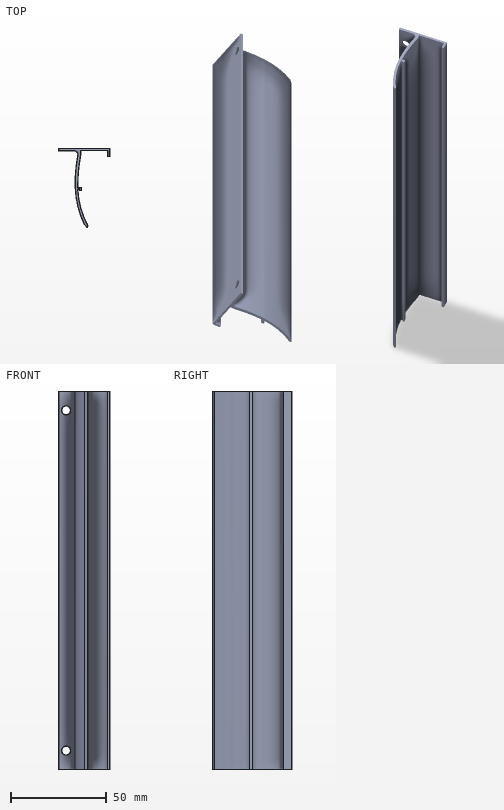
import cadquery as cq

length = 198.4
flange_width = 27.0
depth = 41.7

flange_thickness = 1.4
rear_flange_thickness = 1.2
lip_thickness = 1.2
lip_depth = 4.4

blade_thickness = 1.4
upper_blade_thickness = 1.5
bow_x = 8.7
bow_y = -20.6
root_x = 10.1
root_fillet = 2.0
upper_mid_x = 9.0
upper_mid_y = -12.0
lower_mid_x = 10.3
lower_mid_y = -31.3
edge_x = 13.5
edge_y = -39.9
tip_x = 15.0
tip_top_x = 15.5
tip_top_y = -40.7

rib_end_x = 12.1
rib_thickness = 1.0
rib_hook_width = 1.0
rib_hook_depth = 1.5

hole_diameter = 4.5
hole_x = 4.0
hole_end_distance = 10.0


def extrude_profile(profile):
    return profile.close().extrude(length)


def make_flange():
    inner_lip_x = flange_width - lip_thickness
    return extrude_profile(
        cq.Workplane("XY")
        .lineTo(flange_width, 0)
        .lineTo(flange_width, -lip_depth)
        .lineTo(inner_lip_x, -lip_depth)
        .lineTo(inner_lip_x, -rear_flange_thickness)
        .lineTo(root_x, -rear_flange_thickness)
        .lineTo(root_x, -flange_thickness)
        .lineTo(0, -flange_thickness)
    )


def make_blade():
    embed_y = -rear_flange_thickness / 2
    fillet_end_y = -flange_thickness - root_fillet
    fillet_start_x = root_x - root_fillet
    fillet_sag = root_fillet * (1 - 0.5**0.5)
    return extrude_profile(
        cq.Workplane("XY")
        .moveTo(fillet_start_x, embed_y)
        .lineTo(fillet_start_x, -flange_thickness)
        .threePointArc(
            (root_x - fillet_sag, -flange_thickness - fillet_sag),
            (root_x, fillet_end_y),
        )
        .threePointArc((upper_mid_x, upper_mid_y), (bow_x, bow_y))
        .threePointArc((lower_mid_x, lower_mid_y), (edge_x, edge_y))
        .lineTo(tip_x, -depth)
        .lineTo(tip_top_x, tip_top_y)
        .threePointArc(
            (lower_mid_x + blade_thickness, lower_mid_y),
            (bow_x + blade_thickness, bow_y),
        )
        .threePointArc(
            (upper_mid_x + upper_blade_thickness, upper_mid_y),
            (root_x + upper_blade_thickness, fillet_end_y),
        )
        .lineTo(root_x + upper_blade_thickness, embed_y)
    )


def make_rib():
    embed_x = bow_x + blade_thickness / 2
    hook_x = rib_end_x - rib_hook_width
    return extrude_profile(
        cq.Workplane("XY")
        .moveTo(embed_x, bow_y)
        .lineTo(rib_end_x, bow_y)
        .lineTo(rib_end_x, bow_y - rib_hook_depth)
        .lineTo(hook_x, bow_y - rib_hook_depth)
        .lineTo(hook_x, bow_y - rib_thickness)
        .lineTo(embed_x, bow_y - rib_thickness)
    )


def make_hole_cutters():
    return (
        cq.Workplane("XZ")
        .pushPoints([(hole_x, hole_end_distance), (hole_x, length - hole_end_distance)])
        .circle(hole_diameter / 2)
        .extrude(flange_thickness)
    )


result = make_flange().union(make_blade()).union(make_rib()).cut(make_hole_cutters())